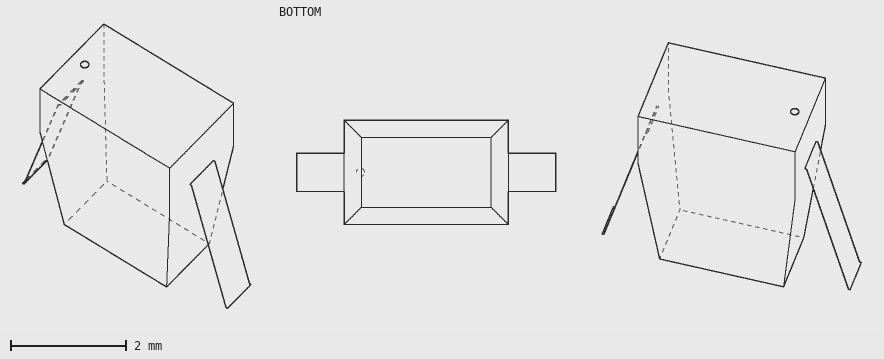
import cadquery as cq
import math

span_x = 4.47
depth_y = 1.8
height_z = 3.86

housing_width = 2.835
block_height = 1.2
base_inset = 0.3
base_height = height_z - block_height

lead_width = 0.66
lead_thickness = 0.01
lead_top = 2.84
tab_length = 0.035
foot_length = 0.025
inner_bend_radius = 0.02
outer_bend_radius = inner_bend_radius + lead_thickness

mark_diameter = 0.145
mark_depth = 0.02
mark_x = -1.135


def make_mark():
    """Round disc whose upper face is level with the top of the housing."""
    return (
        cq.Workplane("XY", origin=(mark_x, 0, height_z - mark_depth))
        .circle(mark_diameter / 2)
        .extrude(mark_depth)
    )


def make_housing(mark):
    """Block with a tapered base below it and a recess for the mark."""
    block = (
        cq.Workplane("XY", origin=(0, 0, base_height))
        .rect(housing_width, depth_y)
        .extrude(block_height)
    )
    base = (
        cq.Workplane("XY")
        .rect(housing_width - 2 * base_inset, depth_y - 2 * base_inset)
        .workplane(offset=base_height)
        .rect(housing_width, depth_y)
        .loft(ruled=True)
    )
    return block.union(base).cut(mark)


def make_lead(side):
    """Z-shaped strip: tab on the housing, sloping leg, foot; side is -1 or +1."""
    inner_x = housing_width / 2
    outer_x = span_x / 2
    tab_corner_x = inner_x + tab_length
    foot_corner_x = outer_x - foot_length
    lead_drop = lead_top - lead_thickness

    leg_angle = math.atan2(lead_drop, foot_corner_x - tab_corner_x)
    shift = lead_thickness * math.tan(leg_angle / 2)

    outline = [
        (inner_x, lead_top),
        (tab_corner_x, lead_top),
        (foot_corner_x, lead_thickness),
        (outer_x, lead_thickness),
        (outer_x, 0),
        (foot_corner_x - shift, 0),
        (tab_corner_x - shift, lead_top - lead_thickness),
        (inner_x, lead_top - lead_thickness),
    ]
    strip = (
        cq.Workplane("XZ")
        .polyline([(side * x, z) for x, z in outline])
        .close()
        .extrude(lead_width / 2, both=True)
    )

    def bend_edge(x, z):
        return cq.selectors.NearestToPointSelector((side * x, 0, z))

    outer_bends = bend_edge(tab_corner_x, lead_top) + bend_edge(foot_corner_x - shift, 0)
    inner_bends = bend_edge(tab_corner_x - shift, lead_top - lead_thickness) + bend_edge(
        foot_corner_x, lead_thickness
    )
    return (
        strip.edges(outer_bends)
        .fillet(outer_bend_radius)
        .edges(inner_bends)
        .fillet(inner_bend_radius)
    )


mark = make_mark()
housing = make_housing(mark)
leads = [make_lead(side) for side in (-1, 1)]

result = cq.Compound.makeCompound([housing.val(), mark.val(), *[lead.val() for lead in leads]])